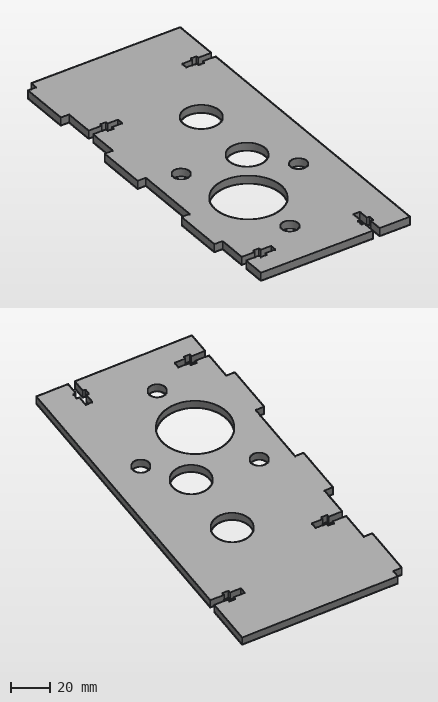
import cadquery as cq

length = 210.0
total_width = 97.0
thickness = 5.0
tab_depth = thickness
body_width = total_width - tab_depth

tab_length = 30.0
first_tab_x = 4.6
tab_pitch = 70.1
tab_count = 3

slot_width = 4.0
slot_depth = 18.0
nut_width = 7.1
nut_thickness = 3.5
nut_distance = 9.9

slots = [
    ((30.5, body_width), -90),
    ((54.5, 0), 90),
    ((194.5, 0), 90),
    ((length, 71.2), 180),
]

shaft_hole_diameter = 22.0
shaft_hole_centers = [(74.3, 54.8), (116.1, 54.8)]
large_hole_diameter = 40.1
large_hole_centers = [(149.0, 33.4)]
small_hole_diameter = 9.9
small_hole_centers = [(112.0, 17.0), (137.8, 72.0), (182.7, 36.3)]


def block(x, y, size_x, size_y):
    """Full-thickness block with its lower left corner at x, y."""
    return cq.Workplane("XY").box(size_x, size_y, thickness, centered=False).translate((x, y, 0))


def nut_slot(mouth, angle):
    """Cross-shaped cutter running inward from a plate edge."""
    stem = block(0, -slot_width / 2, slot_depth, slot_width)
    nut = block(nut_distance - nut_thickness / 2, -nut_width / 2, nut_thickness, nut_width)
    cutter = stem.union(nut).rotate((0, 0, 0), (0, 0, 1), angle)
    return cutter.translate((mouth[0], mouth[1], 0))


def round_holes(centers, diameter):
    """Cylindrical cutters through the plate."""
    return cq.Workplane("XY").pushPoints(centers).circle(diameter / 2).extrude(thickness)


result = block(0, 0, length, body_width)

for index in range(tab_count):
    tab_x = first_tab_x + index * tab_pitch
    result = result.union(block(tab_x, -tab_depth, tab_length, 2 * tab_depth))

for mouth, angle in slots:
    result = result.cut(nut_slot(mouth, angle))

result = result.cut(round_holes(shaft_hole_centers, shaft_hole_diameter))
result = result.cut(round_holes(large_hole_centers, large_hole_diameter))
result = result.cut(round_holes(small_hole_centers, small_hole_diameter))